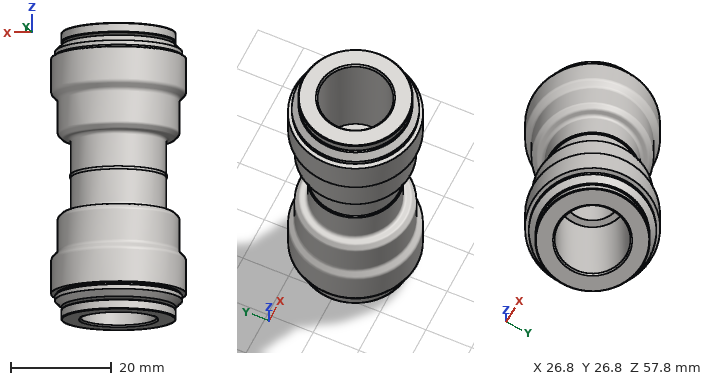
import cadquery as cq
import math

total_length = 57.8
half_length = total_length / 2

collar_radius = 22.8 / 2
collar_thickness = 1.95
collar_edge_chamfer = 0.2
neck_radius = 16.8 / 2
neck_fillet = 0.3

cap_radius = 25.3 / 2
cap_top_radius = 11.3
cap_gap = 0.6
cap_cone_height = 1.3
cap_rim_height = 0.85
cap_lower_chamfer = 0.4
groove_radius = 24.5 / 2

body_radius = 26.8 / 2
body_top = 23.7
body_bottom = 17.15
sleeve_radius = 24.2 / 2
sleeve_bottom = 8.85
shoulder_z = 7.6
blend_radius = 1.05
shoulder_blend_radius = 0.7

tube_radius = 18.95 / 2
tube_fillet = 0.75
bead_height = 0.25
bead_half_width = 0.3

bore_radius = 12.0 / 2
socket_radius = 15.0 / 2
socket_floor = shoulder_z
socket_chamfer = 0.35

shoulder_blend_drop = shoulder_blend_radius * math.sin(math.radians(45))
shoulder_blend_inset = shoulder_blend_radius * (1 - math.cos(math.radians(45)))
half_shoulder_drop = shoulder_blend_radius * math.sin(math.radians(22.5))
half_shoulder_inset = shoulder_blend_radius * (1 - math.cos(math.radians(22.5)))
blend_drop = blend_radius * math.sin(math.radians(45))
blend_inset = blend_radius * (1 - math.cos(math.radians(45)))
half_blend_drop = blend_radius * math.sin(math.radians(22.5))
half_blend_inset = blend_radius * (1 - math.cos(math.radians(22.5)))


def make_half():
    """Upper half of the solid outer form, revolved about Z."""
    collar_bottom = half_length - collar_thickness
    cap_top = collar_bottom - cap_gap
    cap_cone_bottom = cap_top - cap_cone_height
    cap_rim_bottom = cap_cone_bottom - cap_rim_height

    cone_start_radius = body_radius - blend_inset
    cone_end_radius = sleeve_radius + blend_inset
    cone_start = body_bottom - blend_drop
    cone_end = cone_start - (cone_start_radius - cone_end_radius)
    sleeve_top = cone_end - blend_drop

    shoulder_cone_start_radius = sleeve_radius - shoulder_blend_inset
    shoulder_cone_start = sleeve_bottom - shoulder_blend_drop
    shoulder_cone_end = shoulder_z + shoulder_blend_inset
    shoulder_cone_end_radius = shoulder_cone_start_radius - (shoulder_cone_start - shoulder_cone_end)
    shoulder_flat_radius = shoulder_cone_end_radius - shoulder_blend_drop

    tube_top = shoulder_z - tube_fillet
    fillet_mid = tube_fillet * (1 - math.sqrt(0.5))
    neck_fillet_mid = neck_fillet * (1 - math.sqrt(0.5))

    profile = (
        cq.Workplane("XZ")
        .moveTo(0, half_length)
        .lineTo(collar_radius - collar_edge_chamfer, half_length)
        .lineTo(collar_radius, half_length - collar_edge_chamfer)
        .lineTo(collar_radius, collar_bottom + collar_edge_chamfer)
        .lineTo(collar_radius - collar_edge_chamfer, collar_bottom)
        .lineTo(neck_radius + neck_fillet, collar_bottom)
        .threePointArc(
            (neck_radius + neck_fillet_mid, collar_bottom - neck_fillet_mid),
            (neck_radius, collar_bottom - neck_fillet),
        )
        .lineTo(neck_radius, cap_top)
        .lineTo(cap_top_radius, cap_top)
        .lineTo(cap_radius, cap_cone_bottom)
        .lineTo(cap_radius, cap_rim_bottom)
        .lineTo(groove_radius, cap_rim_bottom - cap_lower_chamfer)
        .lineTo(groove_radius, body_top)
        .lineTo(body_radius, body_top)
        .lineTo(body_radius, body_bottom)
        .threePointArc(
            (body_radius - half_blend_inset, body_bottom - half_blend_drop),
            (cone_start_radius, cone_start),
        )
        .lineTo(cone_end_radius, cone_end)
        .threePointArc(
            (sleeve_radius + half_blend_inset, sleeve_top + half_blend_drop),
            (sleeve_radius, sleeve_top),
        )
        .lineTo(sleeve_radius, sleeve_bottom)
        .threePointArc(
            (sleeve_radius - half_shoulder_inset, sleeve_bottom - half_shoulder_drop),
            (shoulder_cone_start_radius, shoulder_cone_start),
        )
        .lineTo(shoulder_cone_end_radius, shoulder_cone_end)
        .threePointArc(
            (shoulder_flat_radius + half_shoulder_drop, shoulder_z + half_shoulder_inset),
            (shoulder_flat_radius, shoulder_z),
        )
        .lineTo(tube_radius + tube_fillet, shoulder_z)
        .threePointArc(
            (tube_radius + fillet_mid, shoulder_z - fillet_mid),
            (tube_radius, tube_top),
        )
        .lineTo(tube_radius, 0)
        .lineTo(0, 0)
        .close()
    )
    return profile.revolve(360, (0, 0, 0), (0, 1, 0))


def make_bead():
    """Thin rounded ring around the middle of the tube."""
    profile = (
        cq.Workplane("XZ")
        .moveTo(0, bead_half_width)
        .lineTo(tube_radius, bead_half_width)
        .threePointArc((tube_radius + bead_height, 0), (tube_radius, -bead_half_width))
        .lineTo(0, -bead_half_width)
        .close()
    )
    return profile.revolve(360, (0, 0, 0), (0, 1, 0))


def make_socket():
    """Space of the upper socket, with a chamfered mouth."""
    profile = (
        cq.Workplane("XZ")
        .moveTo(0, socket_floor)
        .lineTo(socket_radius, socket_floor)
        .lineTo(socket_radius, half_length - socket_chamfer)
        .lineTo(socket_radius + socket_chamfer, half_length)
        .lineTo(0, half_length)
        .close()
    )
    return profile.revolve(360, (0, 0, 0), (0, 1, 0))


upper_half = make_half()
outer = upper_half.union(upper_half.mirror("XY")).union(make_bead())

socket = make_socket()
bore = cq.Workplane("XY").circle(bore_radius).extrude(half_length, both=True)

result = outer.cut(bore).cut(socket).cut(socket.mirror("XY"))